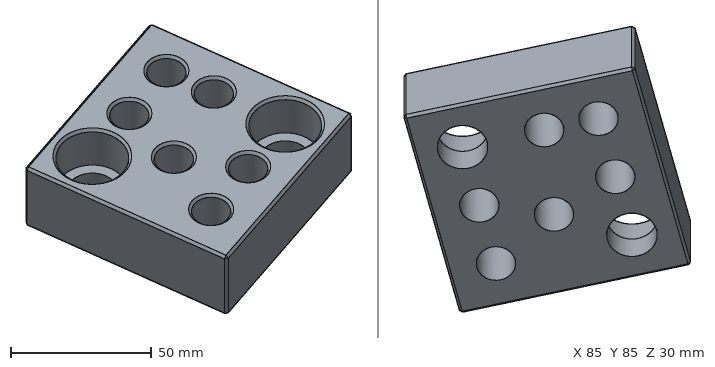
import cadquery as cq

side = 85.0
height = 30.0
edge_chamfer = 1.0

pitch = 25.0
dowel_shift = 5.0
middle_drop = 10.0
small_diameter = 14.0
bolt_diameter = 18.0
counterbore_diameter = 26.0
counterbore_depth = 18.0
hole_chamfer = 1.0

small_centers = [
    (-pitch, pitch),
    (-dowel_shift, pitch),
    (-pitch, 0),
    (pitch, 0),
    (0, -middle_drop),
    (pitch, -pitch),
]
bolt_centers = [(pitch, pitch), (-pitch, -pitch)]


def chamfered_block():
    """Square block standing on Z = 0 with every outer edge chamfered."""
    block = cq.Workplane("XY").box(side, side, height, centered=(True, True, False))
    return block.edges().chamfer(edge_chamfer)


def bore_from_top(diameter, depth):
    """Cutter for a bore on the Z axis with a 45 degree chamfer at the top face."""
    radius = diameter / 2
    profile = [
        (0, height - depth),
        (radius, height - depth),
        (radius, height - hole_chamfer),
        (radius + hole_chamfer, height),
        (0, height),
    ]
    return cq.Workplane("XZ").polyline(profile).close().revolve(360, (0, 0), (0, 1))


result = chamfered_block()

small_cutter = bore_from_top(small_diameter, height)
for x, y in small_centers:
    result = result.cut(small_cutter.translate((x, y, 0)))

bolt_cutter = bore_from_top(counterbore_diameter, counterbore_depth).union(
    cq.Workplane("XY").circle(bolt_diameter / 2).extrude(height - hole_chamfer)
)
for x, y in bolt_centers:
    result = result.cut(bolt_cutter.translate((x, y, 0)))